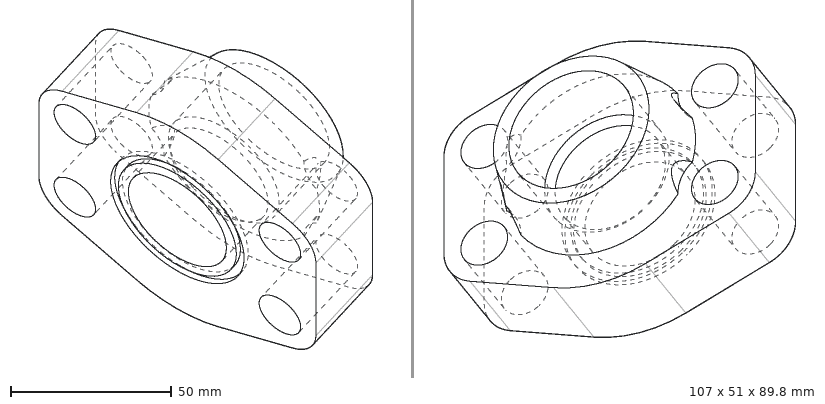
import cadquery as cq
import math

plate_thickness = 30.0
plate_half_width = 53.5
crown_radius = 44.9

bolt_x = 39.6
bolt_z = 18.3
bolt_hole_radius = 8.0
spotface_radius = 12.6
corner_radius = plate_half_width - bolt_x

total_depth = 51.0
neck_base_radius = 33.0
neck_tip_radius = 26.8

bore_radius = 18.9
rear_bore_radius = 21.4
flare_start_y = 22.0
flare_length = rear_bore_radius - bore_radius
flare_end_y = flare_start_y + flare_length

groove_outer_radius = 25.8
groove_inner_radius = 22.8
groove_depth = 2.1


def cylinder(radius, y_start, y_end, x=0, z=0):
    """Solid cylinder along Y between two depths."""
    axis = cq.Vector(0, 1, 0)
    return cq.Workplane(cq.Solid.makeCylinder(radius, y_end - y_start, cq.Vector(x, y_start, z), axis))


def make_plate():
    """Four corner arcs and two crown arcs joined by their common tangents."""
    bolt_distance = math.hypot(bolt_x, bolt_z)
    normal_angle = math.atan2(bolt_x, bolt_z) - math.acos((crown_radius - corner_radius) / bolt_distance)
    nx = math.sin(normal_angle)
    nz = math.cos(normal_angle)
    crown_x = crown_radius * nx
    crown_z = crown_radius * nz
    corner_x = bolt_x + corner_radius * nx
    corner_z = bolt_z + corner_radius * nz
    middle_angle = (normal_angle + math.pi / 2) / 2
    middle_x = bolt_x + corner_radius * math.sin(middle_angle)
    middle_z = bolt_z + corner_radius * math.cos(middle_angle)

    return (
        cq.Workplane("XZ")
        .moveTo(-crown_x, crown_z)
        .threePointArc((0, crown_radius), (crown_x, crown_z))
        .lineTo(corner_x, corner_z)
        .threePointArc((middle_x, middle_z), (plate_half_width, bolt_z))
        .lineTo(plate_half_width, -bolt_z)
        .threePointArc((middle_x, -middle_z), (corner_x, -corner_z))
        .lineTo(crown_x, -crown_z)
        .threePointArc((0, -crown_radius), (-crown_x, -crown_z))
        .lineTo(-corner_x, -corner_z)
        .threePointArc((-middle_x, -middle_z), (-plate_half_width, -bolt_z))
        .lineTo(-plate_half_width, bolt_z)
        .threePointArc((-middle_x, middle_z), (-corner_x, corner_z))
        .close()
        .extrude(-plate_thickness)
    )


def cone(start_radius, end_radius, y_start, y_end):
    """Solid truncated cone centred on the Y axis."""
    base = cq.Vector(0, y_start, 0)
    axis = cq.Vector(0, 1, 0)
    return cq.Workplane(cq.Solid.makeCone(start_radius, end_radius, y_end - y_start, base, axis))


def make_seal_groove():
    """Ring to be cut from the front face."""
    outer = cylinder(groove_outer_radius, 0, groove_depth)
    return outer.cut(cylinder(groove_inner_radius, 0, groove_depth))


neck = cone(neck_base_radius, neck_tip_radius, plate_thickness, total_depth)
result = make_plate().union(neck)

for side_x in (-1, 1):
    for side_z in (-1, 1):
        x = side_x * bolt_x
        z = side_z * bolt_z
        result = result.cut(cylinder(bolt_hole_radius, 0, plate_thickness, x, z))
        result = result.cut(cylinder(spotface_radius, plate_thickness, total_depth, x, z))

result = result.cut(cylinder(bore_radius, 0, total_depth))
result = result.cut(cone(bore_radius, rear_bore_radius, flare_start_y, flare_end_y))
result = result.cut(cylinder(rear_bore_radius, flare_end_y, total_depth))

result = result.cut(make_seal_groove())